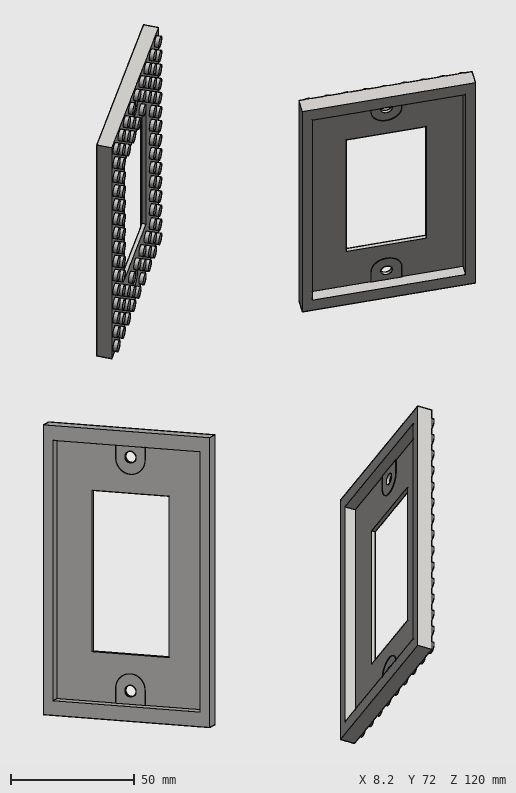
import cadquery as cq
import math

plate_width = 72.0
plate_height = 120.0
plate_thickness = 6.4

stud_rows = 15
stud_columns = 9
stud_pitch = plate_height / stud_rows
stud_diameter = 4.8
stud_height = 1.8

side_rim = 4.2
end_rim = 6.1
recess_depth = 4.7
window_width = 33.2
window_height = 66.7

screw_spacing = 96.8
screw_diameter = 4.8
pad_width = 12.7
pad_length = 12.6
pad_rise = 0.2
screw_head_diameter = 7.0
screw_neck_length = 1.5

recess_width = plate_width - 2 * side_rim
recess_height = plate_height - 2 * end_rim
pad_radius = pad_width / 2


def block(x_start, x_length, width, height):
    """Box centred on the X axis, starting at x_start."""
    return cq.Workplane("YZ", origin=(x_start, 0, 0)).rect(width, height).extrude(x_length)


def make_plate():
    plate = block(0, plate_thickness, plate_width, plate_height)
    return plate.cut(block(0, recess_depth, recess_width, recess_height))


def make_pad(end):
    """Round-nosed pad on the recess floor; end is +1 for the top and -1 for the bottom."""
    wall = end * recess_height / 2
    nose = wall - end * pad_length
    nose_centre = nose + end * pad_radius
    return (
        cq.Workplane("YZ", origin=(recess_depth - pad_rise, 0, 0))
        .moveTo(-pad_radius, wall)
        .lineTo(-pad_radius, nose_centre)
        .threePointArc((0, nose), (pad_radius, nose_centre))
        .lineTo(pad_radius, wall)
        .close()
        .extrude(pad_rise)
    )


def make_window():
    return block(0, plate_thickness, window_width, window_height)


def make_screw_hole(end):
    """Screw hole with a straight neck at the pad, flaring out to the stud face for the screw head."""
    flare_start = recess_depth - pad_rise + screw_neck_length
    half_section = [
        (0, 0),
        (0, screw_diameter / 2),
        (flare_start, screw_diameter / 2),
        (plate_thickness, screw_head_diameter / 2),
        (plate_thickness, 0),
    ]
    hole = cq.Workplane("XY").polyline(half_section).close().revolve(360, (0, 0, 0), (1, 0, 0))
    return hole.translate((0, 0, end * screw_spacing / 2))


def stud_is_clear(y, z):
    """True if the stud stays clear of the window and the screw holes."""
    reach = stud_diameter / 2
    off_window = abs(y) >= window_width / 2 + reach or abs(z) >= window_height / 2 + reach
    off_screws = math.hypot(y, abs(z) - screw_spacing / 2) >= reach + screw_head_diameter / 2
    return off_window and off_screws


def make_studs():
    spots = []
    for row in range(stud_rows):
        for column in range(stud_columns):
            y = (column - (stud_columns - 1) / 2) * stud_pitch
            z = (row - (stud_rows - 1) / 2) * stud_pitch
            if stud_is_clear(y, z):
                spots.append((y, z))
    return (
        cq.Workplane("YZ", origin=(plate_thickness, 0, 0))
        .pushPoints(spots)
        .circle(stud_diameter / 2)
        .extrude(stud_height)
    )


result = make_plate().union(make_studs()).cut(make_window())
for end in (1, -1):
    result = result.union(make_pad(end)).cut(make_screw_hole(end))